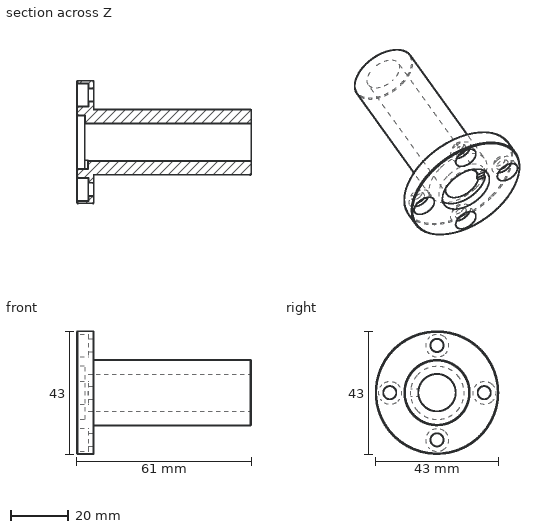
import cadquery as cq

total_length = 61.0
flange_diameter = 43.0
flange_thickness = 6.0
barrel_diameter = 23.0
edge_chamfer = 0.3

bore_diameter = 13.0
recess_diameter = 18.65
recess_depth = 2.85

groove_width = 2.7
groove_depth = 1.0

bolt_count = 4
bolt_circle_diameter = 33.0
bolt_hole_diameter = 4.5
counterbore_diameter = 8.0
counterbore_depth = 4.1

flange_face_x = -total_length / 2
bolt_angle_step = 360 / bolt_count


def cylinder(diameter, length, radial_offset=0):
    """Cylinder running in +X from the flange face, shifted along Y."""
    return (
        cq.Workplane("YZ", origin=(flange_face_x, radial_offset, 0))
        .circle(diameter / 2)
        .extrude(length)
    )


def make_body():
    flange = cylinder(flange_diameter, flange_thickness).edges().chamfer(edge_chamfer)
    barrel = cylinder(barrel_diameter, total_length).edges(">X").chamfer(edge_chamfer)
    return flange.union(barrel)


def make_groove():
    """Groove from the bore out to the recess wall."""
    outer_radius = recess_diameter / 2
    strip = cq.Workplane("XY").box(
        recess_depth + groove_depth, outer_radius, groove_width, centered=(False, False, True)
    ).translate((flange_face_x, -outer_radius, 0))
    return strip.intersect(cylinder(recess_diameter, recess_depth + groove_depth))


def make_bolt_hole():
    offset = bolt_circle_diameter / 2
    hole = cylinder(bolt_hole_diameter, flange_thickness, offset)
    return hole.union(cylinder(counterbore_diameter, counterbore_depth, offset))


result = make_body()
result = result.cut(cylinder(bore_diameter, total_length))
result = result.cut(cylinder(recess_diameter, recess_depth))
result = result.cut(make_groove())
for index in range(bolt_count):
    bolt_hole = make_bolt_hole().rotate((0, 0, 0), (1, 0, 0), index * bolt_angle_step)
    result = result.cut(bolt_hole)